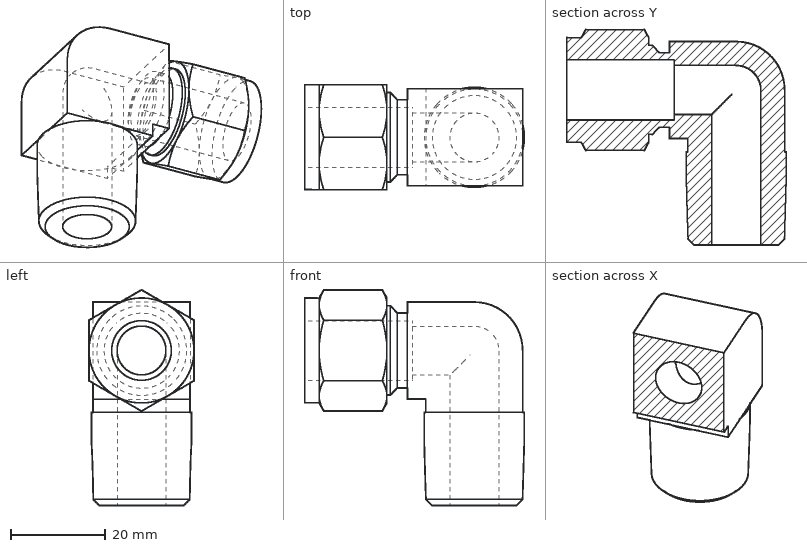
import cadquery as cq
import math


tube_end_x = -36.07
thread_end_z = -33.02

nut_flats = 22.35
nut_flat_radius = nut_flats / 2
nut_corner_radius = nut_flat_radius / math.cos(math.radians(30))
nut_collar_length = 3.07
nut_hex_length = 14.45
nut_chamfer_angle = 30
nut_chamfer_length = (nut_corner_radius - nut_flat_radius) * math.tan(math.radians(nut_chamfer_angle))
hex_start_x = tube_end_x + nut_collar_length
hex_end_x = hex_start_x + nut_hex_length

shoulder_radius = 9.54
shoulder_length = 0.72
neck_radius = 8.0
shoulder_slope_length = 1.45

body_width = 20.65
body_half = body_width / 2
body_start_x = -14.22
body_shank_z = -13.15

thread_radius = 10.67
thread_taper_start_z = -19.5
thread_chamfer_z = -31.68
thread_small_radius = 10.31
thread_tip_radius = 8.95

bore_radius = 5.2
tube_socket_radius = 6.35
tube_socket_depth = 22.86


def make_nut():
    """Hexagon with corners along Z, both ends turned to a cone, plus the round collar."""
    hexagon = (
        cq.Workplane("YZ", origin=(hex_start_x, 0, 0))
        .polygon(6, 2 * nut_corner_radius)
        .extrude(nut_hex_length)
        .rotate((0, 0, 0), (1, 0, 0), 90)
    )
    turned_envelope = (
        cq.Workplane("XZ")
        .moveTo(hex_start_x, 0)
        .lineTo(hex_start_x, nut_flat_radius)
        .lineTo(hex_start_x + nut_chamfer_length, nut_corner_radius)
        .lineTo(hex_end_x - nut_chamfer_length, nut_corner_radius)
        .lineTo(hex_end_x, nut_flat_radius)
        .lineTo(hex_end_x, 0)
        .close()
        .revolve(360, (0, 0, 0), (1, 0, 0))
    )
    collar = (
        cq.Workplane("YZ", origin=(tube_end_x, 0, 0))
        .circle(nut_flat_radius)
        .extrude(nut_collar_length)
    )
    return hexagon.intersect(turned_envelope).union(collar)


def make_neck():
    """Round shoulder behind the nut, sloping down to the neck that enters the body."""
    slope_start_x = hex_end_x + shoulder_length
    slope_end_x = slope_start_x + shoulder_slope_length
    return (
        cq.Workplane("XZ")
        .moveTo(hex_end_x, 0)
        .lineTo(hex_end_x, shoulder_radius)
        .lineTo(slope_start_x, shoulder_radius)
        .lineTo(slope_end_x, neck_radius)
        .lineTo(body_start_x, neck_radius)
        .lineTo(body_start_x, 0)
        .close()
        .revolve(360, (0, 0, 0), (1, 0, 0))
    )


def make_body():
    """Square-section elbow whose outer corner is rounded about the axis crossing."""
    corner_mid = body_half * math.sqrt(0.5)
    return (
        cq.Workplane("XZ")
        .moveTo(body_start_x, body_half)
        .lineTo(0, body_half)
        .threePointArc((corner_mid, corner_mid), (body_half, 0))
        .lineTo(body_half, body_shank_z)
        .lineTo(-body_half, body_shank_z)
        .lineTo(-body_half, -body_half)
        .lineTo(body_start_x, -body_half)
        .close()
        .extrude(body_half, both=True)
    )


def make_thread_end():
    """Straight band, tapered thread envelope and end chamfer, turned about Z."""
    return (
        cq.Workplane("XZ")
        .moveTo(0, body_shank_z)
        .lineTo(thread_radius, body_shank_z)
        .lineTo(thread_radius, thread_taper_start_z)
        .lineTo(thread_small_radius, thread_chamfer_z)
        .lineTo(thread_tip_radius, thread_end_z)
        .lineTo(0, thread_end_z)
        .close()
        .revolve(360, (0, 0, 0), (0, 1, 0))
    )


def make_tube_bore():
    """Tube socket stepping down to the flow bore, which ends in a half ball at the elbow."""
    socket_end_x = tube_end_x + tube_socket_depth
    ball_mid = bore_radius * math.sqrt(0.5)
    return (
        cq.Workplane("XZ")
        .moveTo(tube_end_x, 0)
        .lineTo(tube_end_x, tube_socket_radius)
        .lineTo(socket_end_x, tube_socket_radius)
        .lineTo(socket_end_x, bore_radius)
        .lineTo(0, bore_radius)
        .threePointArc((ball_mid, ball_mid), (bore_radius, 0))
        .close()
        .revolve(360, (0, 0, 0), (1, 0, 0))
    )


def make_thread_bore():
    """Flow bore from the axis crossing down through the threaded end."""
    return cq.Workplane("XY").circle(bore_radius).extrude(thread_end_z)


fitting = make_body().union(make_neck()).union(make_nut()).union(make_thread_end())
result = fitting.cut(make_tube_bore()).cut(make_thread_bore())